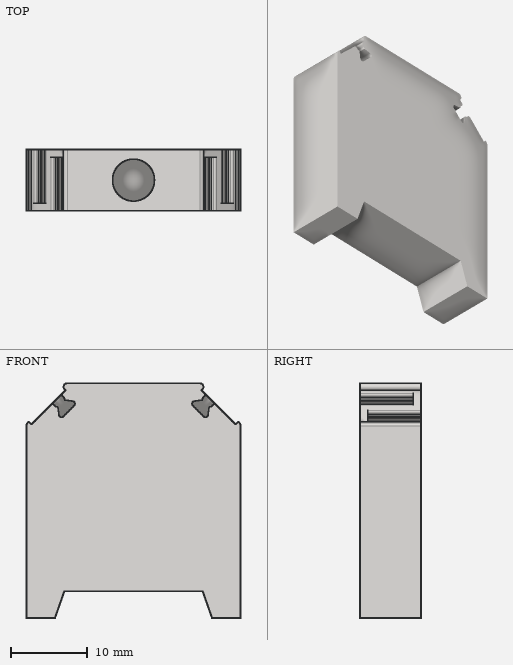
import cadquery as cq
import math

width = 28.0
thickness = 8.0
height = 30.7

recess_height = 3.5
recess_top_half_width = 9.02
recess_bottom_half_width = 10.25

shoulder_foot_x = 13.35
shoulder_foot_z = 25.32
ridge_rise = 0.35
ridge_radius = 0.52
nose_radius = 0.5
top_half_width = 8.65

slot_center_x = 10.05
slot_spacing = 3.13
slot_end_wall = 1.0
neck_half_width = 0.8
neck_depth = 0.6
throat_half_width = 0.65
throat_depth = 0.85
slot_floor_half_width = 1.7
slot_depth = 2.25
lip_radius = 0.28
slot_corner_radius = 0.35

hole_diameter = 5.5
hole_depth = 7.67

half_width = width / 2
diagonal = math.sqrt(0.5)
shoulder_sum = shoulder_foot_x + shoulder_foot_z


def make_half_body():
    """Left half of the housing, extruded through the full thickness."""
    ridge_x = shoulder_foot_x + ridge_rise
    ridge_z = shoulder_foot_z + ridge_rise
    ridge_arc_end_x = half_width - ridge_radius + ridge_radius * diagonal
    ridge_arc_end_z = ridge_x + ridge_z - ridge_arc_end_x
    ridge_arc_z = ridge_arc_end_z - ridge_radius * diagonal
    nose_z = height - nose_radius
    nose_end_x = top_half_width + nose_radius * diagonal
    nose_end_z = nose_z - nose_radius * diagonal
    notch_step = (nose_end_x + nose_end_z - shoulder_sum) / 2
    return (
        cq.Workplane("XZ", origin=(0, thickness / 2, 0))
        .moveTo(0, recess_height)
        .lineTo(-recess_top_half_width, recess_height)
        .lineTo(-recess_bottom_half_width, 0)
        .lineTo(-half_width, 0)
        .lineTo(-half_width, ridge_arc_z)
        .tangentArcPoint((-ridge_arc_end_x, ridge_arc_end_z), relative=False)
        .lineTo(-ridge_x, ridge_z)
        .lineTo(-shoulder_foot_x, shoulder_foot_z)
        .lineTo(-(nose_end_x - notch_step), nose_end_z - notch_step)
        .lineTo(-nose_end_x, nose_end_z)
        .threePointArc((-top_half_width - nose_radius, nose_z), (-top_half_width, height))
        .lineTo(0, height)
        .close()
        .extrude(thickness)
    )


def make_slot(distance_down, front_y, back_y):
    """Undercut slot in the left shoulder, running along Y between front_y and back_y."""
    mouth_x = slot_center_x + distance_down * diagonal
    plane = cq.Plane(
        origin=(-mouth_x, back_y, shoulder_sum - mouth_x),
        xDir=(1, 0, 1),
        normal=(0, -1, 0),
    )
    lip_offset = lip_radius * (1 - diagonal)
    lip_edge = neck_half_width + lip_radius
    lip_middle = neck_half_width + lip_offset
    profile = (
        cq.Workplane(plane)
        .moveTo(-lip_edge, 0)
        .threePointArc((-lip_middle, -lip_offset), (-neck_half_width, -lip_radius))
        .lineTo(-neck_half_width, -neck_depth)
        .lineTo(-throat_half_width, -throat_depth)
        .lineTo(-slot_floor_half_width, -slot_depth)
        .lineTo(slot_floor_half_width, -slot_depth)
        .lineTo(throat_half_width, -throat_depth)
        .lineTo(neck_half_width, -neck_depth)
        .lineTo(neck_half_width, -lip_radius)
        .threePointArc((lip_middle, -lip_offset), (lip_edge, 0))
        .close()
    )
    slot = profile.extrude(back_y - front_y)
    floor_corners = [
        plane.toWorldCoords((side * slot_floor_half_width, -slot_depth, (back_y - front_y) / 2))
        for side in (-1, 1)
    ]
    for corner in floor_corners:
        edge = slot.edges("|Y").edges(cq.selectors.NearestToPointSelector(corner.toTuple()))
        slot = edge.fillet(slot_corner_radius)
    return slot


front = -thickness / 2
back = thickness / 2

half_body = (
    make_half_body()
    .cut(make_slot(0, front, back - slot_end_wall))
    .cut(make_slot(slot_spacing, front + slot_end_wall, back))
)
body = half_body.union(half_body.mirror("YZ")).clean()

access_hole = (
    cq.Workplane("XY", origin=(0, 0, height - hole_depth))
    .circle(hole_diameter / 2)
    .extrude(hole_depth)
)
result = body.cut(access_hole)